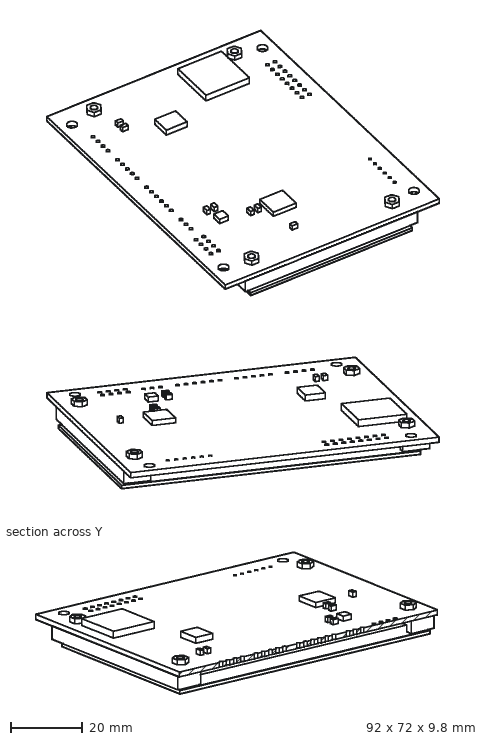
import cadquery as cq
import math

board_length = 92.0
board_width = 72.0
board_thickness = 1.6

block_height = 4.1
block_length = 8.1
block_width = 58.0
block_end_inset = 0.4
panel_length = 87.0
panel_width = 53.5
panel_gap = 2.1
sheet_thickness = 1.0
sheet_width = 54.4
sheet_overhang = 2.1

block_bottom = 2.1
board_bottom = block_bottom + block_height
board_top = board_bottom + board_thickness
panel_top = board_bottom - panel_gap

mount_hole_diameter = 3.0
mount_hole_x = 39.0
mount_hole_y = 32.0
nut_across_flats = 4.0
nut_hole_diameter = 2.0
nut_x = 40.6
nut_y = 23.6

longest_row_pins = 8
longest_row_span = 17.8
pin_pitch = longest_row_span / (longest_row_pins - 1)
pin_hole_diameter = 1.0
small_pin_hole_diameter = 0.8
double_row_y = 30.3
single_row_y = 30.1
small_row_y = 29.6
pin_headers = [
    (-22.9, double_row_y, longest_row_pins, 2, pin_hole_diameter),
    (26.4, small_row_y, 6, 1, small_pin_hole_diameter),
    (-27.3, -single_row_y, 4, 1, pin_hole_diameter),
    (-13.5, -single_row_y, 5, 1, pin_hole_diameter),
    (2.8, -single_row_y, 6, 1, pin_hole_diameter),
    (16.65, -single_row_y, 3, 1, pin_hole_diameter),
    (28.0, -double_row_y, 4, 2, pin_hole_diameter),
]

low_height = 1.5
large_chip_height = 2.0
medium_chip_height = 1.75
resistor_length = 1.8
resistor_width = 1.2
chips = [
    (-34.7, 12.8, 14.4, 14.6, large_chip_height),
    (-23.5, -8.9, 6.0, 7.0, medium_chip_height),
    (23.6, -3.7, 7.0, 7.6, low_height),
    (20.15, -20.5, 2.9, 2.9, low_height),
]
resistors_along_x = [(22.45, -9.7), (22.45, -12.1), (15.4, -19.7), (15.4, -22.2)]
resistors_along_y = [(34.7, -5.6), (-31.6, -21.0), (-29.1, -21.0)]


def box(x, y, z, length, width, height):
    """Box centred on (x, y) and standing on height z."""
    return cq.Workplane("XY", origin=(x, y, z)).rect(length, width).extrude(height)


def make_board():
    board = box(0, 0, board_bottom, board_length, board_width, board_thickness)
    mount_holes = (
        cq.Workplane("XY", origin=(0, 0, board_bottom))
        .rect(2 * mount_hole_x, 2 * mount_hole_y, forConstruction=True)
        .vertices()
        .circle(mount_hole_diameter / 2)
        .extrude(board_thickness)
    )
    board = board.cut(mount_holes)
    for x, y, columns, rows, diameter in pin_headers:
        pin_holes = (
            cq.Workplane("XY", origin=(x, y, board_bottom))
            .rarray(pin_pitch, pin_pitch, columns, rows)
            .circle(diameter / 2)
            .extrude(board_thickness)
        )
        board = board.cut(pin_holes)
    return board


def make_display():
    """Panel carried between two end blocks, on a sheet that overhangs it at the +X end."""
    sheet_length = panel_length + sheet_overhang
    display = box(sheet_overhang / 2, 0, 0, sheet_length, sheet_width, sheet_thickness)
    panel_thickness = panel_top - sheet_thickness
    display = display.union(box(0, 0, sheet_thickness, panel_length, panel_width, panel_thickness))
    block_x = (board_length - block_length) / 2 - block_end_inset
    for side in (-1, 1):
        block = box(side * block_x, 0, block_bottom, block_length, block_width, block_height)
        display = display.union(block)
    return display


def make_nuts():
    """Four open hexagonal nuts with two flats facing along X."""
    across_corners = nut_across_flats / math.cos(math.pi / 6)
    nut = (
        cq.Workplane("XY")
        .polygon(6, across_corners)
        .extrude(low_height)
        .rotate((0, 0, 0), (0, 0, 1), 90)
        .cut(cq.Workplane("XY").circle(nut_hole_diameter / 2).extrude(low_height))
    )
    return [
        nut.translate((x, y, board_top))
        for x in (-nut_x, nut_x)
        for y in (-nut_y, nut_y)
    ]


def make_components():
    parts = [box(x, y, board_top, length, width, height) for x, y, length, width, height in chips]
    for x, y in resistors_along_x:
        parts.append(box(x, y, board_top, resistor_length, resistor_width, low_height))
    for x, y in resistors_along_y:
        parts.append(box(x, y, board_top, resistor_width, resistor_length, low_height))
    return parts


result = make_board().union(make_display())
for part in make_nuts() + make_components():
    result = result.union(part)